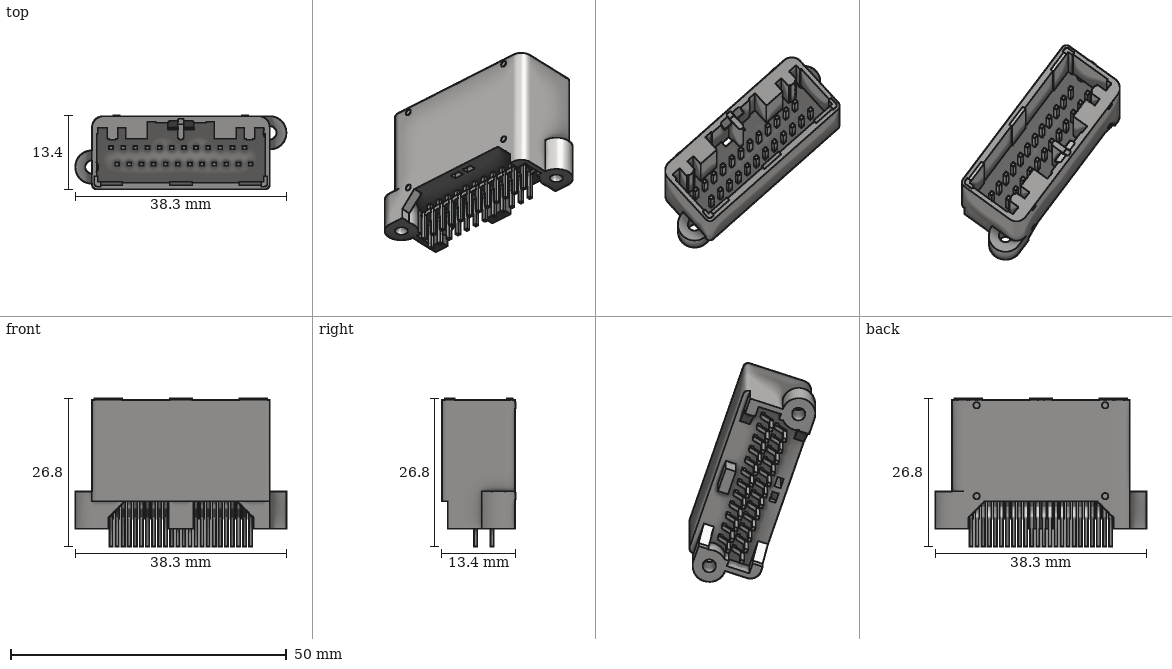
import cadquery as cq
import math


body_width = 32.25
body_depth = 13.3
body_top = 23.4
wall_bottom = 4.98
floor_thickness = 2.0
front_radius = 0.92
back_radius = 2.05
half_width = body_width / 2

skirt_front = 1.05
skirt_post_depth = 1.9
skirt_side_wall = 1.0
window_half_width = 13.18
window_straight_height = 2.0
center_post_width = 4.52

lug_span = 38.3
lug_radius = (lug_span - body_width) / 2
lug_hole_radius = 1.2
lug_height = 6.8
lug_root_depth = back_radius

socket_half_width = 15.3
socket_front = 1.23
corner_half_width = 15.05
corner_step_y = 10.1
groove_back = 11.15
rib_front = 9.2
groove_edges = (13.35, 11.45, 10.0)
bay_half_width = 6.05
bay_back = 12.3
bay_step_half_width = 4.55
bay_step_back = 12.05
ridge_crown_width = 1.15
ridge_crown_side = 0.15
ridge_crown_height = 0.23

key_width = 1.07
key_front = 9.05
key_nose_radius = 0.45
key_pad_front = 11.8
key_pad_back = 12.83
key_pad_radius = 0.25
barb_half_width = 2.35
barb_back = 12.4
barb_front = 11.2
barb_drop = 1.23
barb_lip = 0.57
barb_radius = 0.35
latch_hole_half_width = 2.37
latch_hole_front = 10.88

pad_height = 0.25
pad_back = 1.4
pad_front = 0.75
center_pad_width = 4.1
side_pad_inner = 10.6
corner_pad_outer = 15.65
corner_pad_inner = 14.55
corner_pad_front = 0.55
corner_pad_back = 2.37
corner_pad_radius = 0.5

bump_radius = 0.57
bump_height = 0.1
bump_x = 11.65
bump_levels = (5.95, 22.4)

pins_per_row = 12
pin_pitch = 2.2
pin_tip = 14.55
pin_end = -3.2
blade_width = 0.75
tail_width = 0.65
pin_thickness = 0.65
tip_chamfer = 0.057
front_row_y = 4.6
row_spacing = 3.0
pin_jog = 1.55
bend_top = 4.17
bend_radius = 1.0

floor_top = wall_bottom + floor_thickness


def block(x0, x1, y0, y1, z0, z1):
    return cq.Workplane("XY").box(x1 - x0, y1 - y0, z1 - z0, centered=False).translate((x0, y0, z0))


def both_sides(shape):
    return shape.union(shape.mirror("YZ"))


def make_shell():
    upper = block(-half_width, half_width, 0, body_depth, wall_bottom, body_top)
    upper = upper.edges("|Z and <Y").fillet(front_radius)
    skirt = block(-half_width, half_width, skirt_front, body_depth, 0, wall_bottom)
    return upper.union(skirt).edges("|Z and >Y").fillet(back_radius)


def make_skirt_cutter():
    hollow_half = half_width - skirt_side_wall
    hollow = block(-hollow_half, hollow_half, skirt_front + skirt_post_depth,
                   body_depth - skirt_post_depth, 0, wall_bottom)
    window_top_half = window_half_width - (wall_bottom - window_straight_height)
    window = (
        cq.Workplane("XZ")
        .moveTo(-window_half_width, 0)
        .lineTo(-window_half_width, window_straight_height)
        .lineTo(-window_top_half, wall_bottom)
        .lineTo(window_top_half, wall_bottom)
        .lineTo(window_half_width, window_straight_height)
        .lineTo(window_half_width, 0)
        .close()
        .extrude(-body_depth)
    )
    return hollow.union(window)


def make_center_post():
    return block(-center_post_width / 2, center_post_width / 2, skirt_front,
                 skirt_front + skirt_post_depth, 0, wall_bottom)


def make_lug(side, center_y):
    """Round-ended lug that runs into the side wall and squares off the corner beside it."""
    center_x = side * half_width
    root_x = side * (half_width - lug_root_depth)
    disc = cq.Workplane("XY").center(center_x, center_y).circle(lug_radius).extrude(lug_height)
    root = block(min(center_x, root_x), max(center_x, root_x), center_y - lug_radius,
                 center_y + lug_radius, 0, lug_height)
    return disc.union(root)


def make_lug_hole(side, center_y):
    """Through hole of a lug, which also bites into the side wall as far up as the lug."""
    return cq.Workplane("XY").center(side * half_width, center_y).circle(lug_hole_radius).extrude(lug_height)


def make_socket():
    groove_outer, ridge_inner, groove_inner = groove_edges
    ridge_x = (groove_outer + ridge_inner) / 2
    crown_outer = ridge_x + ridge_crown_width / 2
    crown_inner = ridge_x - ridge_crown_width / 2
    crown_shoulder = rib_front - ridge_crown_side
    half = (
        cq.Workplane("XY", origin=(0, 0, floor_top))
        .moveTo(0, socket_front)
        .lineTo(socket_half_width, socket_front)
        .lineTo(socket_half_width, corner_step_y)
        .lineTo(corner_half_width, corner_step_y)
        .lineTo(corner_half_width, groove_back)
        .lineTo(groove_outer, groove_back)
        .lineTo(groove_outer, rib_front)
        .lineTo(crown_outer, rib_front)
        .lineTo(crown_outer, crown_shoulder)
        .threePointArc((ridge_x, rib_front - ridge_crown_height), (crown_inner, crown_shoulder))
        .lineTo(crown_inner, rib_front)
        .lineTo(ridge_inner, rib_front)
        .lineTo(ridge_inner, groove_back)
        .lineTo(groove_inner, groove_back)
        .lineTo(groove_inner, rib_front)
        .lineTo(bay_half_width, rib_front)
        .lineTo(bay_half_width, bay_back)
        .lineTo(bay_step_half_width, bay_back)
        .lineTo(bay_step_half_width, bay_step_back)
        .lineTo(0, bay_step_back)
        .close()
        .extrude(body_top - floor_top)
    )
    return both_sides(half)


def make_latch_hole():
    """Slot through the floor below the barbs."""
    return block(-latch_hole_half_width, latch_hole_half_width, latch_hole_front, bay_step_back,
                 wall_bottom, floor_top)


def make_barb_envelope():
    """Space above and around the barbs, let into the back wall with rounded corners."""
    envelope = block(-barb_half_width, barb_half_width, barb_front, barb_back,
                     body_top - barb_drop - barb_lip, body_top)
    return envelope.edges("|Z and >Y").fillet(barb_radius)


def make_barbs():
    """Snap edge with a ramp on top, split in two by the key."""
    ramp = (
        cq.Workplane("YZ", origin=(-barb_half_width, 0, 0))
        .moveTo(barb_back, body_top)
        .lineTo(barb_front, body_top)
        .lineTo(barb_front, body_top - barb_drop)
        .close()
        .extrude(2 * barb_half_width)
    )
    return make_barb_envelope().cut(ramp)


def make_key():
    key = block(-key_width / 2, key_width / 2, key_front, bay_back, wall_bottom, body_top)
    key = key.edges("|Z and <Y").fillet(key_nose_radius)
    pad = block(-key_width / 2, key_width / 2, key_pad_front, key_pad_back, body_top, body_top + pad_height)
    return key.union(pad.edges("|Z and >Y").fillet(key_pad_radius))


def make_sloped_pad(x0, x1):
    """Rib on the inside of the front wall whose top slopes down to the rim."""
    return (
        cq.Workplane("YZ", origin=(x0, 0, 0))
        .moveTo(pad_front, body_top)
        .lineTo(pad_back, body_top + pad_height)
        .lineTo(pad_back, floor_top)
        .lineTo(pad_front, floor_top)
        .close()
        .extrude(x1 - x0)
    )


def make_corner_pad():
    pad_top = body_top + pad_height
    along_front = block(corner_pad_inner, corner_pad_outer, corner_pad_front, pad_back, floor_top, pad_top)
    along_side = block(corner_half_width, corner_pad_outer, corner_pad_front, corner_pad_back,
                       floor_top, pad_top)
    corner = along_front.union(along_side)
    return corner.edges("|Z and >X and <Y").fillet(corner_pad_radius)


def make_bumps():
    places = [(side * bump_x, level) for side in (-1, 1) for level in bump_levels]
    plane = cq.Workplane("XZ", origin=(0, body_depth, 0))
    return plane.pushPoints(places).circle(bump_radius).extrude(-bump_height)


def make_pin():
    """Contact along Z that jogs backward below the floor and ends in a slimmer tail."""
    arc_back = bend_radius * (1 - math.cos(math.pi / 4))
    arc_down = bend_radius * math.sin(math.pi / 4)
    half_back = bend_radius * (1 - math.cos(math.pi / 8))
    half_down = bend_radius * math.sin(math.pi / 8)
    slope = pin_jog - 2 * arc_back
    bend_bottom = bend_top - 2 * arc_down - slope
    path = (
        cq.Workplane("YZ")
        .moveTo(0, pin_tip)
        .lineTo(0, bend_top)
        .threePointArc((half_back, bend_top - half_down), (arc_back, bend_top - arc_down))
        .lineTo(pin_jog - arc_back, bend_bottom + arc_down)
        .threePointArc((pin_jog - half_back, bend_bottom + half_down), (pin_jog, bend_bottom))
    )
    section = cq.Workplane("XY", origin=(0, 0, pin_tip)).rect(blade_width, pin_thickness)
    blade = section.sweep(path).faces(">Z").chamfer(tip_chamfer)
    tail = (
        cq.Workplane("XY", origin=(0, pin_jog, pin_end))
        .rect(tail_width, pin_thickness)
        .extrude(bend_bottom - pin_end)
    )
    return blade.union(tail)


part = make_shell()
part = part.cut(make_skirt_cutter())
part = part.union(make_center_post())
for lug in ((-1, skirt_front + lug_radius), (1, body_depth - lug_radius)):
    part = part.union(make_lug(*lug))
    part = part.cut(make_lug_hole(*lug))
part = part.cut(make_socket())
part = part.cut(make_latch_hole())
part = part.cut(make_barb_envelope())
part = part.union(make_barbs())
part = part.union(make_key())
part = part.union(make_sloped_pad(-center_pad_width / 2, center_pad_width / 2))
part = part.union(both_sides(make_sloped_pad(side_pad_inner, corner_pad_inner)))
part = part.union(both_sides(make_corner_pad()))
part = part.union(make_bumps())

pin = make_pin()
row_half_length = (pins_per_row - 1) * pin_pitch / 2
for row_y, stagger in ((front_row_y, pin_pitch / 4), (front_row_y + row_spacing, -pin_pitch / 4)):
    for index in range(pins_per_row):
        part = part.union(pin.translate((index * pin_pitch - row_half_length + stagger, row_y, 0)))

result = part